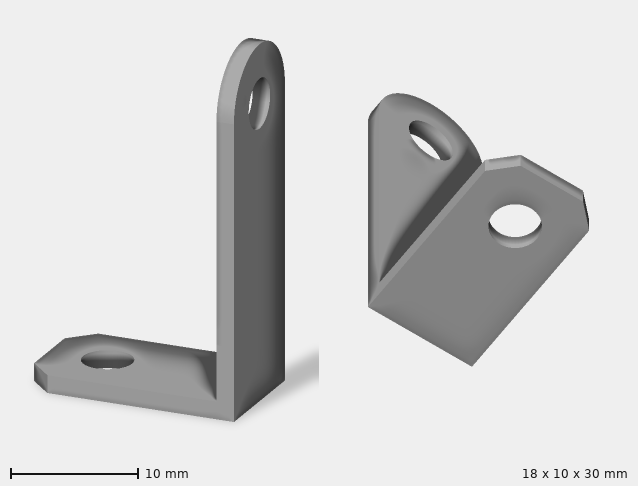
import cadquery as cq

height = 30.0
length = 18.0
width = 10.0
thickness = 1.5
hole_diameter = 4.2
corner_chamfer = 2.0

end_radius = width / 2
hole_x = end_radius
hole_z = height - end_radius


def make_base():
    """Horizontal leg with a chamfered free end at X = 0."""
    plate = cq.Workplane("XY").box(length, width, thickness, centered=(False, True, False))
    plate = plate.edges("|Z and <X").chamfer(corner_chamfer)
    hole = cq.Workplane("XY").center(hole_x, 0).circle(hole_diameter / 2).extrude(thickness)
    return plate.cut(hole)


def make_upright():
    """Vertical leg with a full-round top and its outer face at X = length."""
    inner_face = cq.Workplane("YZ", origin=(length - thickness, 0, 0))
    plate = (
        inner_face.moveTo(-end_radius, 0)
        .lineTo(end_radius, 0)
        .lineTo(end_radius, hole_z)
        .threePointArc((0, height), (-end_radius, hole_z))
        .close()
        .extrude(thickness)
    )
    hole = inner_face.center(0, hole_z).circle(hole_diameter / 2).extrude(thickness)
    return plate.cut(hole)


result = make_base().union(make_upright())